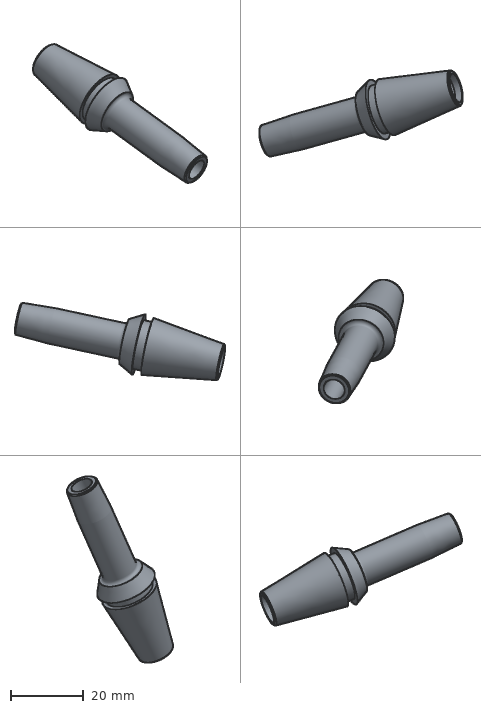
import cadquery as cq

length = 57.5
nose_end = -length / 2
tail_end = length / 2
nose_length = 20.8
groove_width = 2.6
flange_length = 4.0
tail_taper_length = 9.65

nose_tip_radius = 5.1
nose_base_radius = 8.05
groove_radius = 6.9
flange_radius = 8.54
flange_back_radius = 6.4
stem_radius = 5.0
tail_radius = 4.55

edge_break = 0.35
stem_fillet = 1.005

bore_radius = 3.0
counterbore_radius = 4.1
counterbore_depth = 2.0
cone_length = 0.65

nose_base = nose_end + nose_length
flange_front = nose_base + groove_width
flange_back = flange_front + flange_length
taper_start = tail_end - tail_taper_length


def make_body():
    """Revolve the tapered nose, groove, flange and stem about X."""
    profile = (
        cq.Workplane("XY")
        .moveTo(nose_end, 0)
        .lineTo(nose_end, nose_tip_radius - edge_break)
        .lineTo(nose_end + edge_break, nose_tip_radius)
        .lineTo(nose_base, nose_base_radius)
        .lineTo(nose_base, groove_radius)
        .lineTo(flange_front, groove_radius)
        .lineTo(flange_front, flange_radius)
        .lineTo(flange_back, flange_back_radius)
        .lineTo(flange_back, stem_radius + stem_fillet)
        .radiusArc((flange_back + stem_fillet, stem_radius), -stem_fillet)
        .lineTo(taper_start, stem_radius)
        .lineTo(tail_end - edge_break, tail_radius)
        .lineTo(tail_end, tail_radius - edge_break)
        .lineTo(tail_end, 0)
        .close()
    )
    return profile.revolve(360, (0, 0, 0), (1, 0, 0))


def make_bore():
    """Revolve the through bore with its cone-bottomed counterbore in the nose."""
    counterbore_end = nose_end + counterbore_depth
    profile = (
        cq.Workplane("XY")
        .moveTo(nose_end, 0)
        .lineTo(nose_end, counterbore_radius)
        .lineTo(counterbore_end, counterbore_radius)
        .lineTo(counterbore_end + cone_length, bore_radius)
        .lineTo(tail_end, bore_radius)
        .lineTo(tail_end, 0)
        .close()
    )
    return profile.revolve(360, (0, 0, 0), (1, 0, 0))


result = make_body().cut(make_bore())